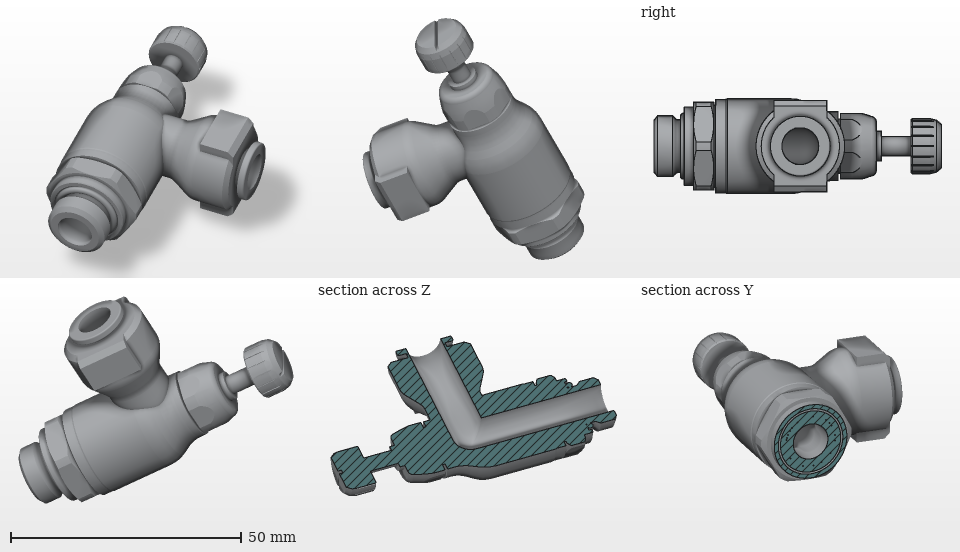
import cadquery as cq
import math


bore_radius = 4.0
thread_radius = 6.6
thread_end_radius = 5.6
thread_chamfer_length = 0.8
thread_top = 4.05
thread_neck_radius = 5.75
thread_relief_angle = math.radians(45)
thread_relief_fillet = 0.6
flange_radius = 8.55
flange_bottom = 6.5
flange_chamfer = 0.2
seal_recess_radius = 7.5
seal_recess_top = 7.1
seal_radius = 0.75
seal_ring_radius = 6.45

hex_bottom = 8.55
hex_top = 13.05
hex_apothem = 9.55
hex_corner_radius = 10.55
hex_face_radius = 9.45
hex_chamfer_length = 0.6
hex_groove_radius = 8.95

body_bottom = 13.45
body_radius = 10.3
skirt_radius = 10.2
skirt_top = 15.6
skirt_step_length = 0.3
shoulder_bottom = 29.8
shoulder_bend_radius = 7.05
shoulder_angle = math.radians(30)
body_top_radius = 7.5
body_top = 40.0

nut_groove_radius = 5.95
nut_bottom = 40.5
nut_radius = 7.55
nut_apothem = 7.1
nut_straight_top = 43.2
nut_dome_middle = (7.1, 45.2)
nut_dome_top = (6.5, 47.2)
nut_rim_middle = (6.1, 47.95)
nut_top_radius = 5.45
nut_top = 48.3

collar_radius = 3.25
collar_top = 49.45
stem_radius = 2.1
knob_bottom = 55.8
knob_top = 62.5
knob_radius = 6.0
knob_edge_chamfer = 0.3
knob_taper_start = 60.0
knob_taper_end = 61.45
knob_taper_radius = 5.6
knob_top_radius = 4.7
knob_groove_count = 16
knob_groove_width = 0.25
knob_groove_depth = 0.2
knob_groove_top = 60.95
slot_width = 0.75
slot_depth = 0.8

port_y = 31.8
port_neck_radius = 6.55
port_radius = 9.6
flare_start = 10.95
flare_angle = math.radians(30)
flare_inner_bend = 3.0
flare_outer_bend = 4.1
port_end = 26.4
port_chamfer_length = 1.0
port_chamfer_depth = 1.1
pad_start = 18.6
pad_half_width = 5.75
pad_height = 9.95
pad_chamfer = 1.25
release_neck_radius = 4.55
release_flange_radius = 6.5
release_flange_start = 27.5
release_end = 29.05
release_edge_fillet = 0.3


def cylinder_y(radius, start, end):
    """Cylinder on the main axis between two Y positions."""
    return cq.Workplane("XZ", origin=(0, start, 0)).circle(radius).extrude(start - end)


def revolve_y(profile):
    """Turn a closed (radius, Y) profile around the main axis."""
    return profile.close().revolve(360, (0, 0, 0), (0, 1, 0))


def hexagon_y(apothem, start, end):
    """Hexagonal prism on the main axis with its corners on the X axis."""
    corner_diameter = 2 * apothem / math.cos(math.pi / 6)
    return cq.Workplane("XZ", origin=(0, start, 0)).polygon(6, corner_diameter).extrude(start - end)


def s_curve(profile, start, end_radius, angle, first_bend, second_bend, axial):
    """Add two opposed tangent bends joined by a straight cone.

    start is (radius, axial position); axial maps (radius, position) to profile coordinates.
    """
    start_radius, start_position = start
    sign = math.copysign(1, end_radius - start_radius)
    drop = 1 - math.cos(angle)
    cone_rise = abs(end_radius - start_radius) - (first_bend + second_bend) * drop
    cone_start = start_position + first_bend * math.sin(angle)
    cone_end = cone_start + cone_rise / math.tan(angle)
    end_position = cone_end + second_bend * math.sin(angle)

    half_drop = 1 - math.cos(angle / 2)
    half_run = math.sin(angle / 2)
    first_middle = (start_radius + sign * first_bend * half_drop, start_position + first_bend * half_run)
    first_end = (start_radius + sign * first_bend * drop, cone_start)
    second_start = (end_radius - sign * second_bend * drop, cone_end)
    second_middle = (end_radius - sign * second_bend * half_drop, end_position - second_bend * half_run)
    return (
        profile.threePointArc(axial(*first_middle), axial(*first_end))
        .lineTo(*axial(*second_start))
        .threePointArc(axial(*second_middle), axial(end_radius, end_position))
    )


def make_threaded_end():
    drop = thread_relief_fillet * (1 - math.cos(thread_relief_angle))
    half_drop = thread_relief_fillet * (1 - math.cos(thread_relief_angle / 2))
    cone_radius = thread_neck_radius + drop
    cone_top = thread_top + (thread_radius - cone_radius) / math.tan(thread_relief_angle)
    neck_start = cone_top + thread_relief_fillet * math.sin(thread_relief_angle)
    fillet_middle = (
        thread_neck_radius + half_drop,
        neck_start - thread_relief_fillet * math.sin(thread_relief_angle / 2),
    )
    profile = (
        cq.Workplane("XY")
        .lineTo(thread_end_radius, 0)
        .lineTo(thread_radius, thread_chamfer_length)
        .lineTo(thread_radius, thread_top)
        .lineTo(cone_radius, cone_top)
        .threePointArc(fillet_middle, (thread_neck_radius, neck_start))
        .lineTo(thread_neck_radius, seal_recess_top)
        .lineTo(seal_recess_radius, seal_recess_top)
        .lineTo(seal_recess_radius, flange_bottom)
        .lineTo(flange_radius - flange_chamfer, flange_bottom)
        .lineTo(flange_radius, flange_bottom + flange_chamfer)
        .lineTo(flange_radius, hex_bottom)
        .lineTo(0, hex_bottom)
    )
    seal = (
        cq.Workplane("XY").center(seal_ring_radius, flange_bottom).circle(seal_radius)
        .revolve(360, (-seal_ring_radius, 0, 0), (-seal_ring_radius, 1, 0))
    )
    return revolve_y(profile).union(seal)


def make_wrench_hexagon():
    envelope = revolve_y(cq.Workplane("XY").polyline([
        (0, hex_bottom),
        (hex_face_radius, hex_bottom),
        (hex_corner_radius, hex_bottom + hex_chamfer_length),
        (hex_corner_radius, hex_top - hex_chamfer_length),
        (hex_face_radius, hex_top),
        (0, hex_top),
    ]))
    hexagon = hexagon_y(hex_apothem, hex_bottom, hex_top).intersect(envelope)
    return hexagon.union(cylinder_y(hex_groove_radius, hex_top, body_bottom))


def make_body():
    profile = (
        cq.Workplane("XY").moveTo(0, body_bottom)
        .lineTo(skirt_radius, body_bottom)
        .lineTo(skirt_radius, skirt_top)
        .lineTo(body_radius, skirt_top + skirt_step_length)
        .lineTo(body_radius, shoulder_bottom)
    )
    profile = s_curve(
        profile, (body_radius, shoulder_bottom), body_top_radius, shoulder_angle,
        shoulder_bend_radius, shoulder_bend_radius, lambda radius, position: (radius, position),
    )
    return revolve_y(profile.lineTo(body_top_radius, body_top).lineTo(0, body_top))


def make_lock_nut():
    dome = revolve_y(
        cq.Workplane("XY").moveTo(0, nut_bottom)
        .lineTo(nut_radius, nut_bottom)
        .lineTo(nut_radius, nut_straight_top)
        .threePointArc(nut_dome_middle, nut_dome_top)
        .threePointArc(nut_rim_middle, (nut_top_radius, nut_top))
        .lineTo(0, nut_top)
    )
    nut = dome.intersect(hexagon_y(nut_apothem, nut_bottom, nut_top))
    return nut.union(cylinder_y(nut_groove_radius, body_top, nut_bottom))


def make_knob():
    knob = revolve_y(cq.Workplane("XY").polyline([
        (0, knob_bottom),
        (knob_radius - knob_edge_chamfer, knob_bottom),
        (knob_radius, knob_bottom + knob_edge_chamfer),
        (knob_radius, knob_taper_start),
        (knob_taper_radius, knob_taper_end),
        (knob_top_radius, knob_top),
        (0, knob_top),
    ]))
    groove = cq.Workplane("XY").box(
        2 * knob_groove_depth, knob_groove_top - knob_bottom, knob_groove_width,
        centered=(True, False, True),
    ).translate((knob_radius, knob_bottom, 0))
    for index in range(knob_groove_count):
        knob = knob.cut(groove.rotate((0, 0, 0), (0, 1, 0), index * 360 / knob_groove_count))
    slot = cq.Workplane("XY").box(slot_width, 2 * slot_depth, 2 * knob_radius)
    return knob.cut(slot.translate((0, knob_top, 0)))


def make_side_port():
    profile = cq.Workplane("XY", origin=(0, port_y, 0)).lineTo(0, port_neck_radius)
    profile = s_curve(
        profile.lineTo(flare_start, port_neck_radius), (port_neck_radius, flare_start), port_radius,
        flare_angle, flare_inner_bend, flare_outer_bend, lambda radius, position: (position, radius),
    )
    return (
        profile.lineTo(port_end - port_chamfer_length, port_radius)
        .lineTo(port_end, port_radius - port_chamfer_depth)
        .lineTo(port_end, 0)
        .close()
        .revolve(360, (0, 0, 0), (1, 0, 0))
    )


def make_port_pads():
    """Block through the port whose upper and lower ends stand out as flat pads."""
    block = cq.Workplane("XY").box(
        port_end - pad_start, 2 * pad_half_width, 2 * pad_height, centered=(False, True, True)
    )
    return block.faces(">X").edges("|Y").chamfer(pad_chamfer).translate((pad_start, port_y, 0))


def make_release_ring():
    end_plane = cq.Workplane("YZ", origin=(port_end, port_y, 0))
    neck = end_plane.circle(release_neck_radius).extrude(release_flange_start - port_end)
    flange = (
        cq.Workplane("YZ", origin=(release_flange_start, port_y, 0))
        .circle(release_flange_radius)
        .extrude(release_end - release_flange_start)
        .edges()
        .fillet(release_edge_fillet)
    )
    return neck.union(flange)


def make_flow_passage():
    """Elbow bore from the thread end to the side port, with a domed corner."""
    dome_middle = (bore_radius * math.cos(math.pi / 4), port_y + bore_radius * math.sin(math.pi / 4))
    inlet = revolve_y(
        cq.Workplane("XY").lineTo(bore_radius, 0)
        .lineTo(bore_radius, port_y)
        .threePointArc(dome_middle, (0, port_y + bore_radius))
    )
    outlet = cq.Workplane("YZ", origin=(0, port_y, 0)).circle(bore_radius).extrude(release_end)
    return inlet.union(outlet)


result = (
    make_threaded_end()
    .union(make_wrench_hexagon())
    .union(make_body())
    .union(make_lock_nut())
    .union(cylinder_y(collar_radius, nut_top, collar_top))
    .union(cylinder_y(stem_radius, collar_top, knob_bottom))
    .union(make_knob())
    .union(make_side_port())
    .union(make_port_pads())
    .union(make_release_ring())
    .cut(make_flow_passage())
)